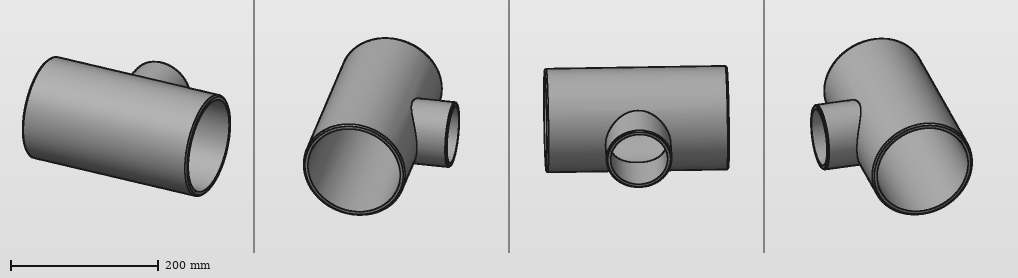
import cadquery as cq

run_length = 248.0
run_diameter = 141.3
run_wall = 6.5
branch_diameter = 89.0
branch_wall = 5.7
branch_reach = 111.3
run_bevel = 2.2
branch_bevel = 1.7


def run_cylinder(diameter):
    """Cylinder along X, centred on the origin."""
    return cq.Workplane("YZ").circle(diameter / 2).extrude(run_length / 2, both=True)


def branch_cylinder(diameter):
    """Cylinder from the run axis to the branch end face."""
    return cq.Workplane("XZ").circle(diameter / 2).extrude(-branch_reach)


run = run_cylinder(run_diameter)
run = run.faces("<X or >X").chamfer(run_bevel)
branch = branch_cylinder(branch_diameter)
branch = branch.faces(">Y").chamfer(branch_bevel)

run_bore = run_cylinder(run_diameter - 2 * run_wall)
branch_bore = branch_cylinder(branch_diameter - 2 * branch_wall)

result = run.union(branch).cut(run_bore).cut(branch_bore)